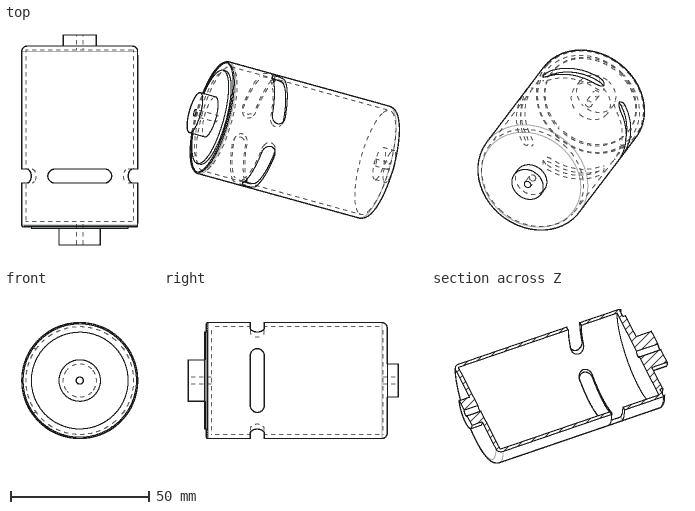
import cadquery as cq
import math

can_radius = 21.0
can_length = 65.5
wall = 1.5
rear_fillet = 2.0

lip_thickness = 0.5
lip_round = 1.0
recess_depth = 0.5

disc_radius = 17.5
disc_height = 0.5
front_boss_radius = 7.5
front_boss_height = 6.0
rear_boss_radius = 6.0
rear_boss_height = 4.0
shaft_hole_diameter = 2.5

slot_length = 23.0
slot_width = 5.0
slot_offset = 18.5

total_length = front_boss_height + disc_height + can_length + rear_boss_height
front_end = -total_length / 2
disc_face = front_end + front_boss_height
can_front = disc_face + disc_height
recess_floor = can_front + recess_depth
can_rear = can_front + can_length
rear_end = can_rear + rear_boss_height
slot_y = can_front + slot_offset

lip_radius = can_radius - lip_thickness
lip_angle = math.acos(1 - lip_thickness / lip_round)
lip_centre_radius = can_radius - lip_round
lip_centre_y = can_front + lip_round * math.sin(lip_angle)


def make_outer_body():
    """Revolve the outer half profile, drawn on the -X side, about the Y axis."""
    lip_middle = (
        -lip_centre_radius - lip_round * math.cos(lip_angle / 2),
        lip_centre_y - lip_round * math.sin(lip_angle / 2),
    )
    fillet_inset = rear_fillet * (1 - math.sqrt(0.5))
    fillet_middle = (-can_radius + fillet_inset, can_rear - fillet_inset)
    return (
        cq.Workplane("XY")
        .moveTo(0, front_end)
        .lineTo(-front_boss_radius, front_end)
        .lineTo(-front_boss_radius, disc_face)
        .lineTo(-disc_radius, disc_face)
        .lineTo(-disc_radius, recess_floor)
        .lineTo(-lip_radius, recess_floor)
        .lineTo(-lip_radius, can_front)
        .threePointArc(lip_middle, (-can_radius, lip_centre_y))
        .lineTo(-can_radius, can_rear - rear_fillet)
        .threePointArc(fillet_middle, (-can_radius + rear_fillet, can_rear))
        .lineTo(-rear_boss_radius, can_rear)
        .lineTo(-rear_boss_radius, rear_end)
        .lineTo(0, rear_end)
        .close()
        .revolve(360, (0, 0, 0), (0, 1, 0))
    )


def make_axial_cylinder(radius, y_start, y_end):
    """Cylinder on the Y axis between two stations."""
    return (
        cq.Workplane("XZ", origin=(0, y_start, 0))
        .circle(radius)
        .extrude(y_start - y_end)
    )


def make_cavity():
    """Plain hollow one wall thickness inside the can's side and both end faces."""
    return make_axial_cylinder(can_radius - wall, recess_floor + wall, can_rear - wall)


def make_shaft_hole():
    """Central hole through both end walls and both bosses."""
    return make_axial_cylinder(shaft_hole_diameter / 2, front_end, rear_end)


def make_vertical_slot():
    """Round-ended slot, long in X, passing through the whole can along Z."""
    return (
        cq.Workplane("XY")
        .center(0, slot_y)
        .slot2D(slot_length, slot_width)
        .extrude(can_radius, both=True)
    )


result = make_outer_body().cut(make_cavity()).cut(make_shaft_hole())
for slot_turn in (0, 90):
    slot = make_vertical_slot().rotate((0, 0, 0), (0, 1, 0), slot_turn)
    result = result.cut(slot)